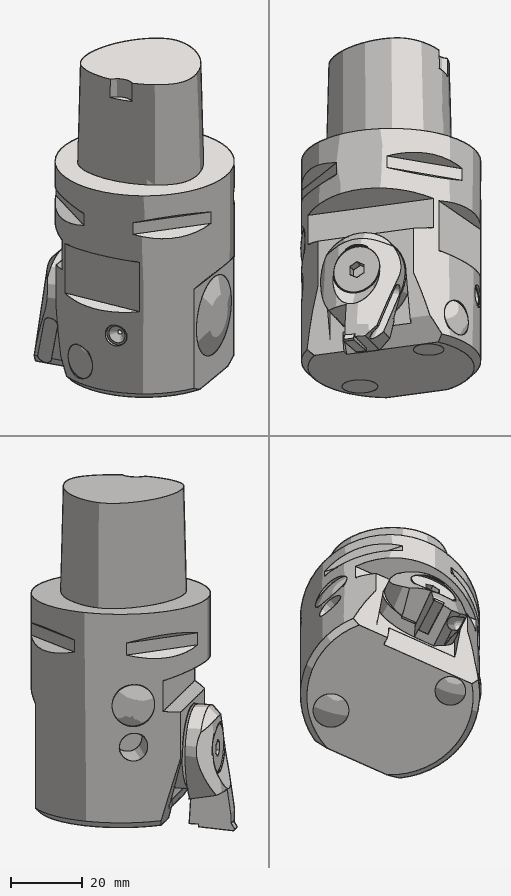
import cadquery as cq
import math


body_radius = 25.01
body_bottom = -61.7
bottom_chamfer = 1.8
outside = 2 * body_radius

shank_height = 30.0
shank_base_radius = 17.6
shank_taper = 1 / 40
lobe_rise = 1.2
flat_half_angle = 24.0
key_notch_diameter = 8.5
key_notch_depth = 5.5
key_notch_offset = 18.1

slot_count = 4
slot_face_distance = 22.2
slot_top = -8.3
slot_bottom = -11.7
slot_flare = 30.0

flat_flare = 15.0
left_recess_distance = 16.7
left_recess_top = -19.9
left_recess_bottom = -28.6
label_flat_distance = 21.7
label_flat_top = -20.2
label_flat_bottom = -35.0
label_flat_turn = 8.0

tool_axis_z = -42.8
seat_face_x = -20.6
seat_bevel_foot_x = -15.7
step_top = (-17.5, -55.1)
step_foot_x = -13.4
step_side_y = 8.3
pocket_diameter = 24.0
pocket_floor_x = -16.7

disc_diameter = 23.8
disc_face_x = -20.4

back_flat_x = 21.3
back_flat_top = -26.7
back_flat_ramp = 3.3
cap_diameter = 23.0
cap_top_diameter = 12.0
cap_height = 1.5
cap_seat_depth = 1.9

dome_height = 1.0
plug_depth = 2.9
side_turn = 22.0
front_plug_diameter = 10.0
front_plug_z = -53.5
rear_plug_diameter = 12.0
rear_plug_z = -26.3
small_bottom_plug_diameter = 8.5
small_bottom_plug_place = (-8.9, -14.4)
large_bottom_plug_diameter = 10.0
large_bottom_plug_place = (10.7, 13.2)

side_hole_diameter = 8.0
side_hole_z = -38.2
side_hole_depth = 11.5

nozzle_diameter = 6.2
nozzle_x = 2.7
nozzle_face_y = -24.0
nozzle_length = 5.8
nozzle_mouth_diameter = 5.0
nozzle_cone_depth = 1.9
nozzle_bore_diameter = 1.2
nozzle_bore_depth = 4.8

head_diameter = 23.8
arm_back_x = -21.3
arm_bottom = -64.6
arm_flank_tilt = 16.0
arm_corner = (-3.9, -61.5)
arm_left_arc_middle = (10.0, -51.0)
arm_left_arc_end = (6.7, -56.0)
front_radius = 17.3
front_tilt = 8.4
front_top = (-28.1, -33.7)
tip_front_x = -32.2
tip_front_radius = 18.1
heel_top = -56.2
heel_bottom_x = -20.1
heel_top_x = -20.5
heel_step = 0.7
head_bevel_start_x = -25.3
rake_y = 2.0
rake_roof_front = (-31.1, -54.1)
rake_roof_back = (-21.1, -56.4)
groove_diameter = 4.1
groove_start = (-24.0, -10.7, -49.5)
groove_direction = (-4.6, 4.5, -15.6)
groove_length = 19.2
lip_width = 3.0
lip_profile = [(-31.9, -63.4), (-33.2, -65.5), (-32.8, -66.0), (-22.8, -65.4), (-22.8, -64.3)]

screw_diameter = 13.6
screw_face_x = -27.8
sink_start_x = -28.2
sink_start_radius = 7.1
sink_end_x = -31.1
sink_end_radius = 11.3
hex_across_flats = 4.1
hex_depth = 2.9


def x_rod(diameter, x_start, x_end, z=tool_axis_z):
    """Cylinder along X in the plane y = 0."""
    return cq.Workplane("YZ", origin=(x_start, 0, z)).circle(diameter / 2).extrude(x_end - x_start)


def x_cone(x_start, radius_start, x_end, radius_end):
    """Cone frustum along X around the tool seat's axis."""
    return cq.Workplane(cq.Solid.makeCone(
        radius_start, radius_end, x_end - x_start,
        pnt=cq.Vector(x_start, 0, tool_axis_z), dir=cq.Vector(1, 0, 0)))


def xz_prism(points, y_start, y_end):
    """Prism with an outline of (x, z) points between two Y positions."""
    return cq.Workplane("XZ", origin=(0, y_start, 0)).polyline(points).close().extrude(y_start - y_end)


def azimuth_direction(azimuth):
    return cq.Vector(math.cos(math.radians(azimuth)), math.sin(math.radians(azimuth)), 0)



def shank_point(radius, angle):
    """Point of the three-lobed outline whose outward normal points at the given angle."""
    turn = math.radians(angle)
    lobe_phase = math.radians(3 * (angle - 90))
    reach = radius + lobe_rise * math.cos(lobe_phase)
    slope = -3 * lobe_rise * math.sin(lobe_phase)
    return (reach * math.cos(turn) - slope * math.sin(turn),
            reach * math.sin(turn) + slope * math.cos(turn))


def shank_outline(radius, z):
    """Closed outline of three flatter sides and three lobes, one spline each."""
    joints = []
    for flat_centre in (30, 150, 270):
        joints += [flat_centre - flat_half_angle, flat_centre + flat_half_angle]
    edges = []
    for start, end in zip(joints, joints[1:] + [joints[0] + 360]):
        angles = [start + (end - start) * step / 6 for step in range(7)]
        points = [cq.Vector(*shank_point(radius, angle), z) for angle in angles]
        tangents = [azimuth_direction(start + 90), azimuth_direction(end + 90)]
        edges.append(cq.Edge.makeSpline(points, tangents=tangents))
    return cq.Wire.assembleEdges(edges)


def shank():
    top_radius = shank_base_radius - shank_taper * shank_height
    outlines = [shank_outline(shank_base_radius, 0), shank_outline(top_radius, shank_height)]
    key_notch = (cq.Workplane("XY", origin=(0, -key_notch_offset, shank_height - key_notch_depth))
                 .circle(key_notch_diameter / 2).extrude(2 * key_notch_depth))
    return cq.Workplane(cq.Solid.makeLoft(outlines, True)).cut(key_notch)


def flared_flat(azimuth, distance, z_top, z_bottom, flare):
    """Cutter for a flat facing the azimuth, with end faces that lean open by the flare angle."""
    reach = outside - distance
    spread = reach * math.tan(math.radians(flare))
    section = [(distance, z_top), (distance, z_bottom),
               (outside, z_bottom - spread), (outside, z_top + spread)]
    return xz_prism(section, -outside, outside).rotate((0, 0, 0), (0, 0, 1), azimuth)


def tool_seat_cutters():
    """Flat face, bevels and round-topped pocket on the -X side."""
    below = body_bottom - (tool_axis_z - body_bottom)
    seat_slope = (seat_bevel_foot_x - seat_face_x) / (tool_axis_z - body_bottom)
    bevel_end_x = seat_face_x + seat_slope * (tool_axis_z - below)
    face = xz_prism([(-outside, left_recess_bottom), (seat_face_x, left_recess_bottom),
                     (seat_face_x, tool_axis_z), (bevel_end_x, below), (-outside, below)],
                    -outside, outside)
    step_slope = (step_foot_x - step_top[0]) / (step_top[1] - body_bottom)
    step_end_x = step_top[0] + step_slope * (step_top[1] - below)
    step_outer_z = step_top[1] + (outside + step_top[0]) / step_slope
    step = xz_prism([(-outside, step_outer_z), (step_end_x, below), (-outside, below)],
                    -outside, step_side_y)
    pocket = x_rod(pocket_diameter, pocket_floor_x, -outside)
    pocket_slot = xz_prism([(-outside, tool_axis_z), (pocket_floor_x, tool_axis_z),
                            (pocket_floor_x, below), (-outside, below)],
                           -pocket_diameter / 2, pocket_diameter / 2)
    return [face, step, pocket, pocket_slot]


def back_flat_cutter():
    ramp_width = body_radius - back_flat_x
    return xz_prism([(body_radius, back_flat_top), (back_flat_x, back_flat_top - back_flat_ramp),
                     (back_flat_x, body_bottom), (body_radius + ramp_width, body_bottom),
                     (body_radius + ramp_width, back_flat_top)], -outside, outside)


def side_hole():
    azimuth = 90 + side_turn
    direction = azimuth_direction(azimuth)
    start = direction * (body_radius - side_hole_depth) + cq.Vector(0, 0, side_hole_z)
    return cq.Workplane(cq.Solid.makeCylinder(side_hole_diameter / 2, outside, start, direction))


def holder_body(plug_bores):
    body = (cq.Workplane("XY").circle(body_radius).extrude(body_bottom)
            .faces("<Z").chamfer(bottom_chamfer))
    body = body.union(shank())
    for index in range(slot_count):
        azimuth = 45 + index * 360 / slot_count
        body = body.cut(flared_flat(azimuth, slot_face_distance, slot_top, slot_bottom, slot_flare))
    body = body.cut(flared_flat(180, left_recess_distance, left_recess_top, left_recess_bottom,
                                flat_flare))
    body = body.cut(flared_flat(270 - label_flat_turn, label_flat_distance, label_flat_top,
                                label_flat_bottom, flat_flare))
    for cutter in tool_seat_cutters():
        body = body.cut(cutter)
    body = body.cut(back_flat_cutter())
    body = body.cut(x_rod(cap_diameter, back_flat_x - cap_seat_depth, back_flat_x))
    body = body.cut(side_hole())
    nozzle_bore_start = nozzle_face_y + nozzle_length
    body = body.cut(cq.Workplane("XZ", origin=(nozzle_x, nozzle_bore_start, tool_axis_z))
                    .circle(nozzle_diameter / 2).extrude(body_radius))
    for bore in plug_bores:
        body = body.cut(bore)
    return body



def side_plug_seat(diameter, azimuth, z):
    """Diameter, rim centre and outward direction of a plug whose rim meets the body's side."""
    rim_distance = math.sqrt(body_radius ** 2 - (diameter / 2) ** 2)
    direction = azimuth_direction(azimuth)
    return diameter, direction * rim_distance + cq.Vector(0, 0, z), direction


def bottom_plug_seat(diameter, place):
    return diameter, cq.Vector(*place, body_bottom), cq.Vector(0, 0, -1)


def domed_plug(diameter, rim_centre, direction):
    radius = diameter / 2
    bulge = (radius ** 2 + dome_height ** 2) / (2 * dome_height)
    half_way = radius / 2
    half_way_height = dome_height - bulge + math.sqrt(bulge ** 2 - half_way ** 2)
    return (cq.Workplane(cq.Plane(rim_centre, normal=direction)).transformed(rotate=(90, 0, 0))
            .moveTo(0, -plug_depth).lineTo(radius, -plug_depth).lineTo(radius, 0)
            .threePointArc((half_way, half_way_height), (0, dome_height))
            .close().revolve(360, (0, 0), (0, 1)))


def plug_bore(diameter, rim_centre, direction):
    return cq.Workplane(cq.Solid.makeCylinder(
        diameter / 2, 2 * plug_depth, rim_centre - direction * plug_depth, direction))



def seat_disc():
    return x_rod(disc_diameter, disc_face_x, pocket_floor_x)


def back_cap():
    base = x_rod(cap_diameter, back_flat_x - cap_seat_depth, back_flat_x)
    crown = x_cone(back_flat_x, cap_diameter / 2, back_flat_x + cap_height, cap_top_diameter / 2)
    return base.union(crown)


def coolant_nozzle():
    face = cq.Workplane("XZ", origin=(nozzle_x, nozzle_face_y, tool_axis_z))
    mouth = cq.Workplane(cq.Solid.makeCone(
        nozzle_mouth_diameter / 2, nozzle_bore_diameter / 2, nozzle_cone_depth,
        pnt=cq.Vector(nozzle_x, nozzle_face_y, tool_axis_z), dir=cq.Vector(0, 1, 0)))
    bore = face.circle(nozzle_bore_diameter / 2).extrude(-nozzle_bore_depth)
    return face.circle(nozzle_diameter / 2).extrude(-nozzle_length).cut(mouth).cut(bore)



def arm_outline():
    """Blank with the arm's Y-Z outline: round head above a tapering shank."""
    radius = head_diameter / 2
    tilt = math.radians(arm_flank_tilt)
    flank_top = (-radius * math.cos(tilt), tool_axis_z - radius * math.sin(tilt))
    flank_drop = flank_top[1] - arm_corner[1]
    flank_foot = (flank_top[0] + flank_drop * math.tan(tilt), arm_corner[1])
    return (cq.Workplane("YZ", origin=(-outside, 0, 0))
            .moveTo(*flank_top)
            .threePointArc((0, tool_axis_z + radius), (radius, tool_axis_z))
            .threePointArc(arm_left_arc_middle, arm_left_arc_end)
            .lineTo(rake_y, arm_bottom).lineTo(arm_corner[0], arm_bottom).lineTo(*flank_foot)
            .close().extrude(outside))


def arm_thickness():
    """Blank with the arm's X-Z outline: plain front, and a back with a thicker heel."""
    top = tool_axis_z + head_diameter / 2
    return xz_prism([(-outside, top), (arm_back_x, top), (arm_back_x, heel_top),
                     (heel_top_x, heel_top - heel_step), (heel_bottom_x, arm_bottom),
                     (-outside, arm_bottom)], -outside, outside)


def crowned_front(radius, x, z, tilt):
    """Upright cylinder, leaning by the tilt, whose front line passes through (x, z)."""
    return (cq.Workplane("XY").circle(radius).extrude(2 * outside, both=True)
            .translate((radius, 0, 0)).rotate((0, 0, 0), (0, 1, 0), tilt)
            .translate((x, 0, z)))


def rake_cutter():
    roof_slope = (rake_roof_front[1] - rake_roof_back[1]) / (rake_roof_back[0] - rake_roof_front[0])
    roof_outer_z = rake_roof_front[1] + roof_slope * (outside + rake_roof_front[0])
    roof_inner_z = rake_roof_back[1] + roof_slope * rake_roof_back[0]
    return xz_prism([(-outside, roof_outer_z), (0, roof_inner_z), (0, -2 * outside),
                     (-outside, -2 * outside)], rake_y, outside)


def head_bevel():
    """Envelope with a 45 degree cone around the head's upper half, open below the head's axis."""
    head_radius = head_diameter / 2
    cone = x_cone(head_bevel_start_x - head_radius, 0,
                  head_bevel_start_x + outside, head_radius + outside)
    below_head = xz_prism([(-outside, tool_axis_z), (0, tool_axis_z), (0, -2 * outside),
                           (-outside, -2 * outside)], -outside, outside)
    return cone.union(below_head)


def flank_groove():
    """Round-ended groove cutter along the arm's -Y flank."""
    start = cq.Vector(*groove_start)
    channel = cq.Solid.makeCylinder(groove_diameter / 2, groove_length, start,
                                    cq.Vector(*groove_direction))
    end_ball = cq.Workplane("XY", origin=groove_start).sphere(groove_diameter / 2)
    return end_ball.union(cq.Workplane(channel))


def cutting_arm():
    arm = arm_outline().intersect(arm_thickness())
    arm = arm.intersect(crowned_front(front_radius, *front_top, front_tilt))
    arm = arm.intersect(crowned_front(tip_front_radius, tip_front_x, 0, 0))
    arm = arm.intersect(head_bevel())
    lip = xz_prism(lip_profile, rake_y - lip_width, rake_y)
    arm = arm.cut(rake_cutter()).union(lip)
    arm = arm.cut(flank_groove())
    sink_slope = (sink_end_radius - sink_start_radius) / (sink_end_x - sink_start_x)
    sink_outer_radius = sink_start_radius + sink_slope * (-outside - sink_start_x)
    arm = arm.cut(x_cone(-outside, sink_outer_radius, sink_start_x, sink_start_radius))
    return arm.cut(x_rod(screw_diameter, -outside, arm_back_x))


def clamp_screw():
    screw = x_rod(screw_diameter, screw_face_x, arm_back_x)
    corner_diameter = hex_across_flats / math.cos(math.radians(30))
    socket = (cq.Workplane("YZ", origin=(screw_face_x, 0, tool_axis_z))
              .transformed(rotate=(0, 0, 30)).polygon(6, corner_diameter).extrude(hex_depth))
    return screw.cut(socket)


plug_seats = [
    side_plug_seat(front_plug_diameter, 270 - side_turn, front_plug_z),
    side_plug_seat(rear_plug_diameter, 90 + side_turn, rear_plug_z),
    bottom_plug_seat(small_bottom_plug_diameter, small_bottom_plug_place),
    bottom_plug_seat(large_bottom_plug_diameter, large_bottom_plug_place),
]
body = holder_body([plug_bore(*seat) for seat in plug_seats])
plugs = [domed_plug(*seat) for seat in plug_seats]
disc = seat_disc()
cap = back_cap()
nozzle = coolant_nozzle()
arm = cutting_arm()
screw = clamp_screw()

result = cq.Compound.makeCompound([
    body.val(), disc.val(), cap.val(), nozzle.val(), arm.val(), screw.val(),
    *[plug.val() for plug in plugs],
])